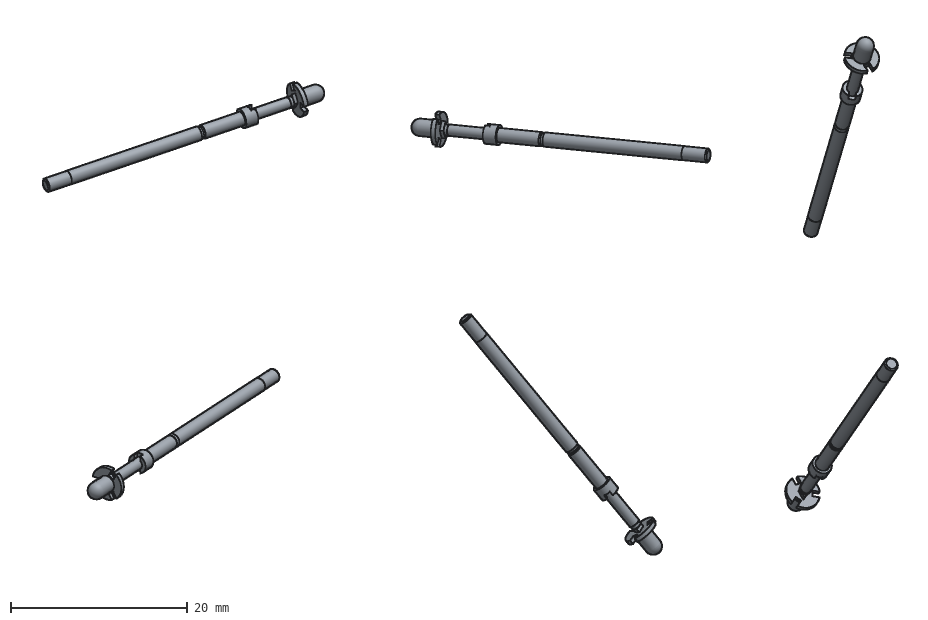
import cadquery as cq
import math

TOTAL_LENGTH = 36.1

TAIL_TOP = 3.0
GROOVE_BOTTOM = 19.9
GROOVE_FLOOR = 20.2
GROOVE_TOP = 20.4
COLLAR_BOTTOM = 25.5
COLLAR_TOP = 27.05
PLUNGER_TOP = 31.6
SEAT_BOTTOM = 32.02
DISC_BOTTOM = 32.5
DISC_TOP = 33.03

TUBE_RADIUS = 1.65 / 2
TAIL_RADIUS = 1.62 / 2
GROOVE_RADIUS = 1.45 / 2
COLLAR_RADIUS = 2.3 / 2
PLUNGER_RADIUS = 1.35 / 2
NECK_RADIUS = 1.23 / 2
HEAD_RADIUS = 2.02 / 2
DISC_RADIUS = 4.0 / 2

CHAMFER_RADIAL = 0.18
CHAMFER_AXIAL = 0.15

SLOT_COUNT = 3
SLOT_WIDTH = 0.72
SLOT_FLOOR_RADIUS = 1.12

MOUTH_SLOT_WIDTH = 0.8
MOUTH_SLOT_DEPTH = 0.55

SEAT_HALF_HEIGHT = HEAD_RADIUS
SEAT_CORNER_ANGLE = 60.0
SEAT_HALF_WIDTH = SEAT_HALF_HEIGHT * math.tan(math.radians(SEAT_CORNER_ANGLE / 2))


def along_axis(start):
    """Workplane across the axis at a station; local x is X, local y is Z, negative extrusion goes to +Y."""
    return cq.Workplane("XZ", origin=(0, start, 0))


def turned_body():
    """Tail, grooved tube, collar, plunger, neck and domed head as one revolved profile."""
    dome_base = TOTAL_LENGTH - HEAD_RADIUS
    dome_mid = HEAD_RADIUS * math.sqrt(0.5)
    profile = (
        cq.Workplane("XY")
        .lineTo(TAIL_RADIUS - CHAMFER_RADIAL, 0)
        .lineTo(TAIL_RADIUS, CHAMFER_AXIAL)
        .lineTo(TAIL_RADIUS, TAIL_TOP)
        .lineTo(TUBE_RADIUS, TAIL_TOP)
        .lineTo(TUBE_RADIUS, GROOVE_BOTTOM)
        .lineTo(GROOVE_RADIUS, GROOVE_FLOOR)
        .lineTo(TUBE_RADIUS, GROOVE_TOP)
        .lineTo(TUBE_RADIUS, COLLAR_BOTTOM)
        .lineTo(COLLAR_RADIUS, COLLAR_BOTTOM)
        .lineTo(COLLAR_RADIUS, COLLAR_TOP)
        .lineTo(PLUNGER_RADIUS, COLLAR_TOP)
        .lineTo(PLUNGER_RADIUS, PLUNGER_TOP)
        .lineTo(NECK_RADIUS, PLUNGER_TOP)
        .lineTo(NECK_RADIUS, DISC_TOP)
        .lineTo(HEAD_RADIUS, DISC_TOP)
        .lineTo(HEAD_RADIUS, dome_base)
        .threePointArc((dome_mid, dome_base + dome_mid), (0, TOTAL_LENGTH))
        .close()
    )
    return profile.revolve(360, (0, 0, 0), (0, 1, 0))


def mouth_slots():
    """Slots at +Z and -Z in the collar mouth, cut down to the plunger surface."""
    start = COLLAR_TOP - MOUTH_SLOT_DEPTH
    bar = along_axis(start).rect(MOUTH_SLOT_WIDTH, 2 * DISC_RADIUS).extrude(-MOUTH_SLOT_DEPTH)
    plunger = along_axis(start).circle(PLUNGER_RADIUS).extrude(-MOUTH_SLOT_DEPTH)
    return bar.cut(plunger)


def slotted_disc():
    """Disc with equally spaced radial slots open to its rim, the first one facing +X."""
    thickness = DISC_TOP - DISC_BOTTOM
    disc = along_axis(DISC_BOTTOM).circle(DISC_RADIUS).extrude(-thickness)
    slot = (
        along_axis(DISC_BOTTOM)
        .center(SLOT_FLOOR_RADIUS + DISC_RADIUS / 2, 0)
        .rect(DISC_RADIUS, SLOT_WIDTH)
        .extrude(-thickness)
    )
    for index in range(SLOT_COUNT):
        angle = index * 360 / SLOT_COUNT
        disc = disc.cut(slot.rotate((0, 0, 0), (0, 1, 0), angle))
    return disc


def rhombic_seat():
    """Four-sided seat between the neck and the disc, its long diagonal along Z."""
    corners = [
        (SEAT_HALF_WIDTH, 0),
        (0, SEAT_HALF_HEIGHT),
        (-SEAT_HALF_WIDTH, 0),
        (0, -SEAT_HALF_HEIGHT),
    ]
    return along_axis(SEAT_BOTTOM).polyline(corners).close().extrude(SEAT_BOTTOM - DISC_BOTTOM)


neck_relief = along_axis(SEAT_BOTTOM).circle(DISC_RADIUS).extrude(SEAT_BOTTOM - DISC_BOTTOM)

result = (
    turned_body()
    .cut(mouth_slots())
    .cut(neck_relief)
    .union(rhombic_seat())
    .union(slotted_disc())
)